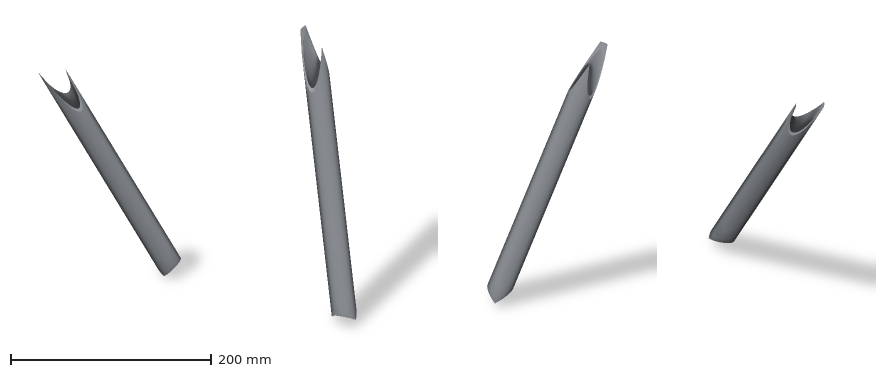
import cadquery as cq
tube_diameter = 25.3
tube_radius = tube_diameter / 2
wall = 1.5
bar_length = 487.5

axis_point = cq.Vector(-0.5, 0.5, 0)
tube_direction = cq.Vector(-0.31, -0.25, 1)

foot_height = -150.0
rear_mate_height = 156.5
side_mate_height = 161.0

foot_direction = cq.Vector(1, 0, 0)
rear_mate_direction = cq.Vector(0.07, -0.53, 1)
side_mate_direction = cq.Vector(-0.78, -0.22, 1)


def point_on_axis(height):
    """Point of the tube's axis at a given Z."""
    return axis_point + tube_direction * height


def bar(center, direction, radius):
    """Solid round bar centered on a point and running along a direction."""
    start = center - direction.normalized() * (bar_length / 2)
    return cq.Workplane(cq.Solid.makeCylinder(radius, bar_length, start, direction))


tube = bar(axis_point, tube_direction, tube_radius)
tube = tube.cut(bar(axis_point, tube_direction, tube_radius - wall))

copes = (
    (foot_height, foot_direction),
    (rear_mate_height, rear_mate_direction),
    (side_mate_height, side_mate_direction),
)
for height, direction in copes:
    tube = tube.cut(bar(point_on_axis(height), direction, tube_radius))

result = cq.Workplane(max(tube.solids().vals(), key=lambda piece: piece.Volume()))